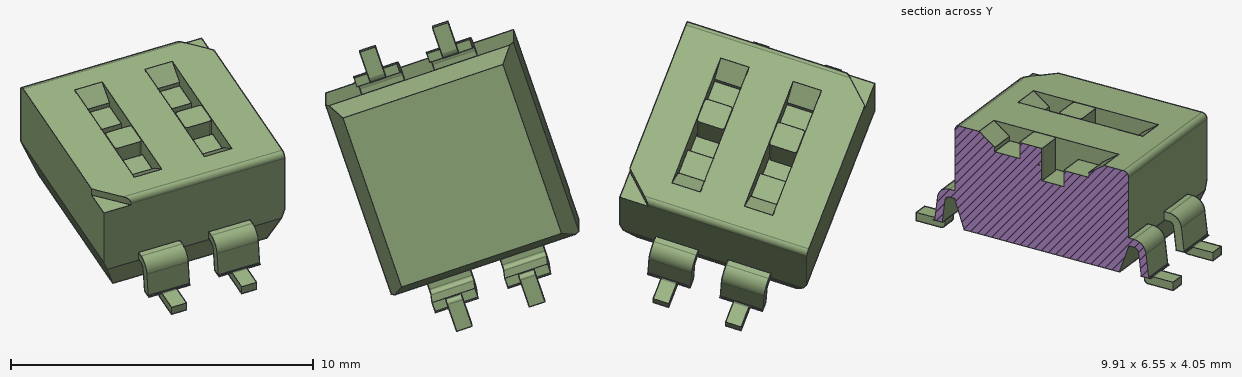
import cadquery as cq
import math


span_x = 9.91
body_x = 6.72
body_y = 6.55
top_z = 4.05
body_bottom_z = 0.25
pitch = 2.54

bottom_x = 6.0
bottom_y = 5.58
side_taper_z = 1.28
end_taper_z = 1.62
top_edge_radius = 0.2
notch_leg = 0.99
notch_depth = 0.27

slot_length = 4.82
slot_width = 0.99
slot_offset_y = 0.02
slot_depth = 0.59
ramp_length = 0.6
ramp_drop = 0.44
well_length = 1.7
well_depth = 1.19
knob_length = 0.87
knob_width = 0.96
knob_radius = 0.09

lead_thickness = 0.31
lead_top_z = end_taper_z
lead_width = 1.5
foot_width = 0.55
shoulder_length = 0.2
bend_radius = 0.48
leg_tilt = math.radians(7)
foot_end_from_body = 0.49
heel_radius = 0.16
root_radius = 0.05
embed = 0.1


def tapered_prism(plane, width, bottom_width, taper_z, length):
    """Extruded body section, narrowed below taper_z and centred on its axis."""
    outline = [
        (-width / 2, top_z),
        (width / 2, top_z),
        (width / 2, taper_z),
        (bottom_width / 2, body_bottom_z),
        (-bottom_width / 2, body_bottom_z),
        (-width / 2, taper_z),
    ]
    return cq.Workplane(plane).polyline(outline).close().extrude(length / 2, both=True)


def make_body():
    side_profile = tapered_prism("XZ", body_x, bottom_x, side_taper_z, body_y)
    side_profile = side_profile.faces(">Z").edges("|Y").fillet(top_edge_radius)
    end_profile = tapered_prism("YZ", body_y, bottom_y, end_taper_z, body_x)
    return side_profile.intersect(end_profile)


def make_corner_notch(x_sign):
    """Triangular cutter at one end of the (-X, +Y) to (+X, -Y) diagonal."""
    corner_x = x_sign * body_x / 2
    corner_y = -x_sign * body_y / 2
    triangle = [
        (corner_x, corner_y),
        (corner_x - x_sign * notch_leg, corner_y),
        (corner_x, corner_y + x_sign * notch_leg),
    ]
    plane = cq.Workplane("XY").workplane(offset=top_z - notch_depth)
    return plane.polyline(triangle).close().extrude(notch_depth)


def make_slot(y):
    """Cutter for a ramped slot with a deeper well in its middle."""
    half_length = slot_length / 2
    half_floor = half_length - ramp_length
    half_well = well_length / 2
    outline = [
        (-half_length, top_z),
        (-half_floor, top_z - ramp_drop),
        (-half_floor, top_z - slot_depth),
        (-half_well, top_z - slot_depth),
        (-half_well, top_z - well_depth),
        (half_well, top_z - well_depth),
        (half_well, top_z - slot_depth),
        (half_floor, top_z - slot_depth),
        (half_floor, top_z - ramp_drop),
        (half_length, top_z),
    ]
    cutter = cq.Workplane("XZ").polyline(outline).close().extrude(slot_width / 2, both=True)
    return cutter.translate((0, y, 0))


def make_knob(y):
    """Slider knob standing on the well floor, flush with the top face."""
    knob = cq.Workplane("XY").box(knob_length, knob_width, well_depth, centered=(True, True, False))
    knob = knob.edges("|Z").fillet(knob_radius)
    return knob.translate(((well_length - knob_length) / 2, y, top_z - well_depth))


def make_lead():
    """Lead on the +X side, centred on Y = 0."""
    face_x = body_x / 2
    bend_x = face_x + shoulder_length
    bend_z = lead_top_z - bend_radius
    inner_radius = bend_radius - lead_thickness
    mid_angle = (math.pi / 2 + leg_tilt) / 2

    def on_bend(radius, angle):
        return (bend_x + radius * math.cos(angle), bend_z + radius * math.sin(angle))

    def leg_end(radius):
        """Point where the tilted leg surface meets the top of the foot."""
        x, z = on_bend(radius, leg_tilt)
        return (x + (z - lead_thickness) * math.tan(leg_tilt), lead_thickness)

    leg = (
        cq.Workplane("XZ")
        .moveTo(face_x - embed, lead_top_z)
        .lineTo(bend_x, lead_top_z)
        .threePointArc(on_bend(bend_radius, mid_angle), on_bend(bend_radius, leg_tilt))
        .lineTo(*leg_end(bend_radius))
        .lineTo(*leg_end(inner_radius))
        .lineTo(*on_bend(inner_radius, leg_tilt))
        .threePointArc(on_bend(inner_radius, mid_angle), (bend_x, lead_top_z - lead_thickness))
        .lineTo(face_x - embed, lead_top_z - lead_thickness)
        .close()
        .extrude(lead_width / 2, both=True)
    )

    heel_x = face_x + foot_end_from_body
    foot = (
        cq.Workplane("XY")
        .box(span_x / 2 - heel_x, foot_width, lead_thickness, centered=(False, True, False))
        .translate((heel_x, 0, 0))
        .edges("|Y and <X and <Z")
        .fillet(heel_radius)
    )

    root_x = leg_end(bend_radius)[0]
    root_inset = root_radius * (1 - math.sqrt(0.5))
    root = (
        cq.Workplane("XZ")
        .moveTo(root_x, lead_thickness)
        .lineTo(root_x + root_radius, lead_thickness)
        .threePointArc(
            (root_x + root_inset, lead_thickness + root_inset),
            (root_x, lead_thickness + root_radius),
        )
        .close()
        .extrude(lead_width / 2, both=True)
    )
    return leg.union(foot).union(root)


result = make_body()
for x_sign in (-1, 1):
    result = result.cut(make_corner_notch(x_sign))

right_lead = make_lead()
left_lead = right_lead.mirror("YZ")
for position_y in (-pitch / 2, pitch / 2):
    slot_y = position_y + slot_offset_y
    result = result.cut(make_slot(slot_y)).union(make_knob(slot_y))
    for lead in (left_lead, right_lead):
        result = result.union(lead.translate((0, position_y, 0)))